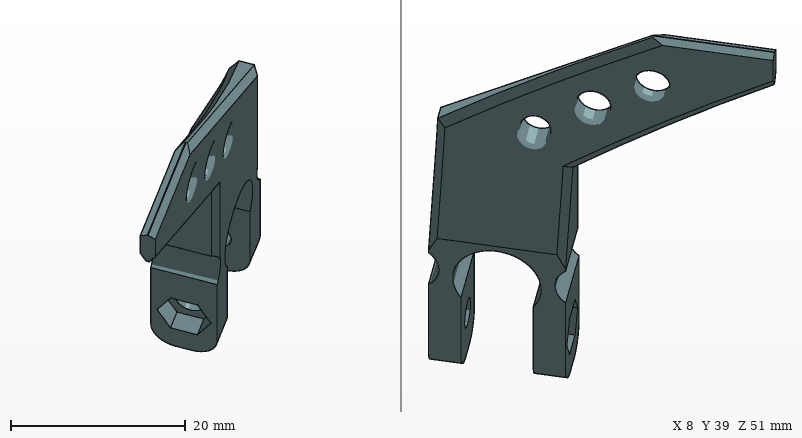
import cadquery as cq
import math

height = 51.0
depth = 8.0
arm_span = 39.0
clevis_width = 16.0
half_width = clevis_width / 2
arm_end_y = half_width - arm_span

slope_angle = math.radians(20)
slope_start_z = 21.05
slope_end_z = 29.85
curve_radius = 49.65

outer_corner_z = 34.85
inner_corner_z = 31.05
top_corner_y = -16.95
arm_tip_z = 46.05

side_bevel_width = 1.0
side_bevel_depth = 0.7
top_bevel_width = 0.45
top_bevel_depth = 0.85

bore_radius = 5.15
bore_z = 15.15
slot_width = 8.4
notch_radius = 3.2
notch_depth = 1.2
notch_z = 16.1
foot_radius = 3.0
pin_z = 6.0
pin_diameter = 3.5
hex_across_flats = 5.6
hex_depth = 2.4

arm_holes = [(-3.4, 35.2, 3.55), (-10.05, 39.5, 4.0), (-16.85, 43.85, 4.0)]
mouth_radius = 0.7


def slope_x(z):
    """X of the sloped front face at height z."""
    return (z - slope_start_z) * math.tan(slope_angle)


def curve_point(angle):
    """Point (X, Z) of the front curve where its lean from upright is the given angle."""
    turn_x = curve_radius * (math.cos(angle) - math.cos(slope_angle))
    turn_z = curve_radius * (math.sin(slope_angle) - math.sin(angle))
    return (slope_x(slope_end_z) + turn_x, slope_end_z + turn_z)


tip_front_x, curve_end_z = curve_point(0)


def arm_plate():
    """Arm cut from the curved profile, with the slope carried below its start."""
    profile = (
        cq.Workplane("XZ", origin=(0, half_width, 0))
        .moveTo(depth, notch_z)
        .lineTo(slope_x(notch_z), notch_z)
        .lineTo(slope_x(slope_end_z), slope_end_z)
        .threePointArc(curve_point(slope_angle / 2), (tip_front_x, curve_end_z))
        .lineTo(tip_front_x, height)
        .lineTo(depth, height)
        .close()
        .extrude(arm_span)
    )
    outline = (
        cq.Workplane("YZ", origin=(slope_x(notch_z), 0, 0))
        .polyline([
            (half_width, notch_z),
            (half_width, outer_corner_z),
            (top_corner_y, height),
            (arm_end_y, height),
            (arm_end_y, arm_tip_z),
            (-half_width, inner_corner_z),
            (-half_width, notch_z),
        ])
        .close()
        .extrude(depth - slope_x(notch_z))
    )
    return profile.intersect(outline)


def bevel_sides(plate):
    """Bevel the front and back rims, with the wide leg along the front and back faces."""
    def is_main(face):
        return abs(face.normalAt().x) > 0.5

    def is_side(face):
        is_arm_end = abs(face.Center().y - arm_end_y) < side_bevel_width
        return abs(face.normalAt().y) > 0.5 and not is_arm_end

    faces = sorted(plate.faces().vals(), key=is_main, reverse=True)
    solid = cq.Solid.makeSolid(cq.Shell.makeShell(faces))
    main_edges = [edge for face in solid.Faces() if is_main(face) for edge in face.Edges()]
    side_edges = [edge for face in solid.Faces() if is_side(face) for edge in face.Edges()]
    rim = [edge for edge in side_edges if any(edge.isSame(other) for other in main_edges)]
    return cq.Workplane(solid.chamfer(side_bevel_width, side_bevel_depth, rim))


def bevel_top(arm):
    """Trim the top edge to a narrow roof shape."""
    for face_x, inward in ((tip_front_x, 1), (depth, -1)):
        wedge = (
            cq.Workplane("XZ", origin=(0, half_width, 0))
            .moveTo(face_x, height - top_bevel_width)
            .lineTo(face_x + inward * top_bevel_depth, height)
            .lineTo(face_x, height)
            .close()
            .extrude(arm_span)
        )
        arm = arm.cut(wedge)
    return arm


def trim_front(arm):
    """Cut the sloped plate off flush with the upright front of the clevis."""
    limit = cq.Workplane("XY").box(depth, 2 * arm_span, height, centered=(False, True, False))
    return arm.intersect(limit)


def drill_arm_holes(arm):
    """Drill the arm holes and round both mouths of each."""
    for y, z, diameter in arm_holes:
        arm = arm.cut(cq.Workplane("YZ").center(y, z).circle(diameter / 2).extrude(depth))
        reach = 0.75 * diameter
        around_hole = cq.selectors.BoxSelector(
            (0, y - reach, z - reach), (2 * depth, y + reach, z + reach), boundingbox=True
        )
        arm = arm.edges(around_hole).edges("not %LINE").fillet(mouth_radius)
    return arm


def clevis_base():
    """Clevis block up to the notch centres, with rounded feet."""
    legs = cq.Workplane("XY").box(depth, clevis_width, notch_z, centered=(False, True, False))
    return legs.edges("|Y and <Z").fillet(foot_radius)


def cut_clevis(body):
    """Cut the bore, its slot, the side notches, the pin hole and the nut pocket."""
    bore = cq.Workplane("YZ").center(0, bore_z).circle(bore_radius).extrude(depth)
    slot = cq.Workplane("XY").box(depth, slot_width, bore_z, centered=(False, True, False))
    body = body.cut(bore).cut(slot)
    notch_y = half_width - notch_depth + notch_radius
    for y in (-notch_y, notch_y):
        body = body.cut(cq.Workplane("YZ").center(y, notch_z).circle(notch_radius).extrude(depth))
    pin = (
        cq.Workplane("XZ", origin=(depth / 2, half_width, pin_z))
        .circle(pin_diameter / 2)
        .extrude(clevis_width)
    )
    nut = (
        cq.Workplane("XZ", origin=(depth / 2, hex_depth - half_width, pin_z))
        .polygon(6, hex_across_flats / math.cos(math.pi / 6))
        .extrude(hex_depth)
    )
    return body.cut(pin).cut(nut)


arm = drill_arm_holes(trim_front(bevel_top(bevel_sides(arm_plate()))))
result = cut_clevis(clevis_base().union(arm))